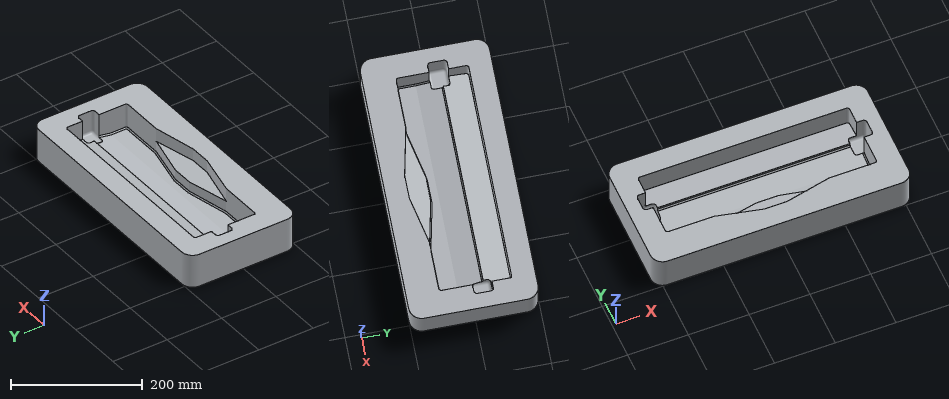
import cadquery as cq
import math

length = 425
width = 200.0
height = 60.0
corner_radius = 20.0

recess_length = 347.2
recess_back_y = 63.5
recess_front_y = -49.0
recess_corner_radius = 4.0
rear_floor_z = 22.5
rear_tilt = 7.0

scoop_length = 189.0
scoop_flat = 37.5
scoop_half_depth = 16.5

ridge_y = 21.5
flat_start_y = -18.3
trough_floor_z = 15.0
trough_tilt = 10.0
trough_chamfer = 2.0

socket_side = 30.0
socket_y = 17.5
socket_floor_z = 17.0
socket_radius = 5.0

recess_width = recess_back_y - recess_front_y
recess_mid_y = (recess_back_y + recess_front_y) / 2


def recess_prism():
    """Round-cornered outline of the main recess, over the full block height."""
    return (
        cq.Workplane("XY", origin=(0, recess_mid_y, 0))
        .rect(recess_length, recess_width)
        .extrude(height)
        .edges("|Z")
        .fillet(recess_corner_radius)
    )


def scoop_prism():
    """Hexagonal outline of the thumb scoop, over the full block height."""
    half_length = scoop_length / 2
    half_flat = scoop_flat / 2
    points = [
        (-half_length, 0),
        (-half_flat, scoop_half_depth),
        (half_flat, scoop_half_depth),
        (half_length, 0),
        (half_flat, -scoop_half_depth),
        (-half_flat, -scoop_half_depth),
    ]
    base = cq.Workplane("XY", origin=(0, recess_front_y, 0))
    return base.polyline(points).close().extrude(height)


def cross_section(points):
    """Closed (Y, Z) outline carried along X over the length of the recess."""
    outline = cq.Workplane("YZ").polyline(points).close()
    return outline.extrude(recess_length / 2, both=True)


def tilted_recess():
    """Main recess and thumb scoop, both ending on the same tilted plane."""
    front_y = recess_front_y - scoop_half_depth
    rise = (recess_back_y - front_y) * math.tan(math.radians(rear_tilt))
    space_above_floor = cross_section(
        [
            (recess_back_y, rear_floor_z),
            (recess_back_y, height),
            (front_y, height),
            (front_y, rear_floor_z + rise),
        ]
    )
    return recess_prism().union(scoop_prism()).intersect(space_above_floor)


def trough():
    """Deep front part of the recess, leaving the scoop standing as a ledge."""
    drop = (ridge_y - flat_start_y) * math.tan(math.radians(trough_tilt))
    space_above_floor = cross_section(
        [
            (ridge_y, height),
            (ridge_y, trough_floor_z + drop),
            (flat_start_y, trough_floor_z),
            (recess_front_y, trough_floor_z),
            (recess_front_y, height),
        ]
    )
    body = recess_prism().intersect(space_above_floor).cut(scoop_prism())
    floor_rim = (
        body.faces("not(#Z or >Z)")
        .edges()
        .filter(lambda edge: abs(edge.Center().y - flat_start_y) > trough_chamfer)
    )
    return floor_rim.chamfer(trough_chamfer)


def socket(x):
    """Square socket, rounded along its upright and bottom edges."""
    return (
        cq.Workplane("XY", origin=(x, socket_y, socket_floor_z))
        .rect(socket_side, socket_side)
        .extrude(height - socket_floor_z)
        .edges("|Z or <Z")
        .fillet(socket_radius)
    )


block = cq.Workplane("XY").rect(length, width).extrude(height)
result = block.edges("|Z").fillet(corner_radius).cut(tilted_recess()).cut(trough())
for end_x in (-recess_length / 2, recess_length / 2):
    result = result.cut(socket(end_x))